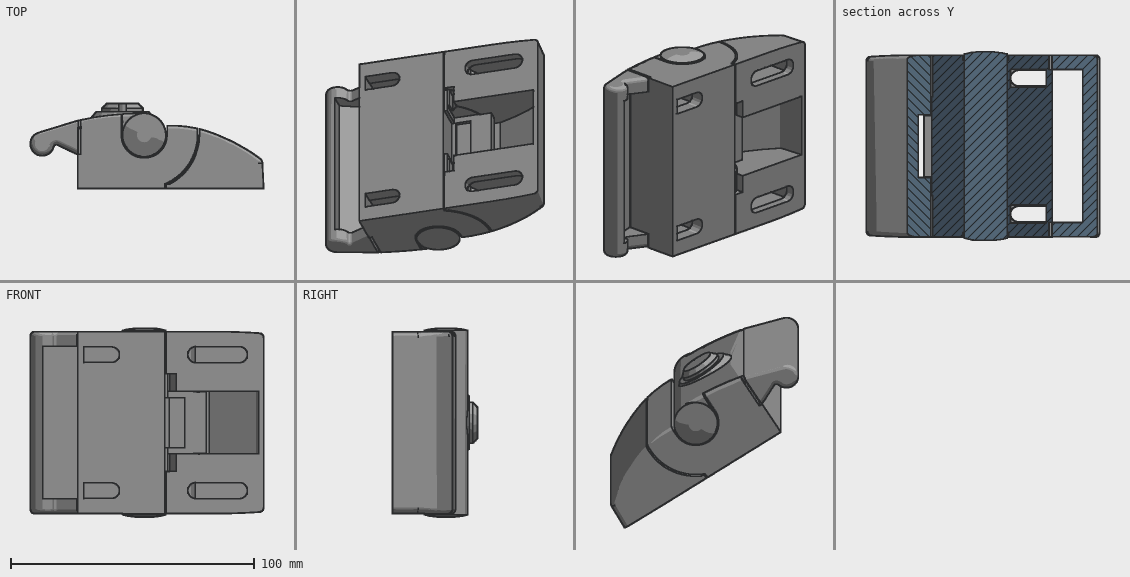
import cadquery as cq
import math

HALF_LENGTH = 37.4
EDGE_ROUND = 1.9
GAP = 0.5
CUT_REACH = 57.6

PIVOT_Y = 22.1
BARREL_RADIUS = 8.9
BARREL_OVERHANG = 0.5
CAP_HEIGHT = 1.0
CAP_CROWN = 0.7
CAP_RADIUS = 8.7
CAP_FLAT_RADIUS = 3.0
COVER_THICKNESS = 2.9
CHEEK_THICKNESS = 2.0
LEVER_CREST_Y = PIVOT_Y + BARREL_RADIUS
ARM_JOINT = (-27.4, 28.0)
ARM_END_X = -27.2
ARM_SPARE = 3.8
ARM_LEVEL_X = -28.3
GRIP_CENTRE = (-42.0, 18.4)
GRIP_RADIUS = 4.9
ARM_UNDERSIDE_Y = 13.9
ARM_UNDERSIDE_ANGLE = 25.5
GRIP_NECK_RADIUS = 1.2
GRIP_RECESS_HALF = 31.4
GRIP_RECESS_MOUTH_X = -41.8
GRIP_RECESS_WALL_TOP_Y = 20.0
GRIP_RECESS_CEILING_X = -39.5

KNOB_X = -8.9
FLANGE_TOP_Y = 31.7
FLANGE_RADIUS = 10.8
FLANGE_DEPTH = 2.9
FLANGE_SPREAD = 2.5
KNOB_RADIUS = 8.5
KNOB_HEIGHT = 3.4
KNOB_CHAMFER = 2.0
KNOB_NOTCH_WIDTH = 3.1
KNOB_CORE_RADIUS = 6.2

HOUSING_LEFT_X = -27.4
HOUSING_RIGHT_X = 8.5
STEP_LEFT_X = -26.0
STEP_Y = 14.2
LIP_HEIGHT = 1.9
PARTING_RADIUS = 21.9
PAD_RADIUS = 22.4
PAD_HALF = 20.4
HOUSING_BASE = 5.8
HOUSING_SLOT_LEFT_X = -24.8
HOUSING_SLOT_RIGHT_X = -10.2
HOUSING_SLOT_WIDTH = 6.3
SLOT_Z = 27.9
TONGUE_Y = 12.7
TONGUE_TOP_Y = 17.3
TONGUE_END_X = 25.4
TONGUE_HALF = 12.7
GROOVE_LEFT_X = 10.6
GROOVE_RISE = 3.0
WINDOW_X = (10.3, 16.6)
WINDOW_HALF = 10.3
WINDOW_DEPTH = 1.4

STRIKE_RADIUS = 22.7
STRIKE_END_X = 49.2
STRIKE_END_TOP = (48.6, 11.7)
STRIKE_CORNER_ROUND = 2.4
ROOF_RADIUS = 49.0
ROOF_CREST = (11.0, 26.0)
ROOF_BREAK_X = 29.3
TAIL_MID = (38.0, 18.5)
TAPER = 0.8
STRIKE_SLOT_X = (18.0, 42.4)
STRIKE_SLOT_WIDTH = 6.6
STRIKE_BASE = 3.8
STRIKE_CAVITY_DEPTH = 9.6
POCKET_HALF = 12.9
POCKET_END_X = 47.1
POCKET_DRAFT = 0.8
POCKET_CORNER_ROUND = 1.0
POCKET_ARCH_X = 26.8
ROOF_THICKNESS = 1.9
NOTCH_END_X = 13.2
NOTCH_HALF = 20.1


def prism(sketch, z_low, z_high):
    """Extrude a closed XY outline from z_low to z_high."""
    return sketch.extrude(z_high - z_low).translate((0, 0, z_low))


def box(x_range, y_range, z_range):
    size = [high - low for low, high in (x_range, y_range, z_range)]
    return cq.Workplane("XY").box(*size, centered=False).translate((x_range[0], y_range[0], z_range[0]))


def disc(radius, z_half, centre=(0, PIVOT_Y)):
    return prism(cq.Workplane("XY").center(*centre).circle(radius), -z_half, z_half)


BAY_HALF = HALF_LENGTH - CHEEK_THICKNESS
COVER_HALF = BAY_HALF - GAP
COVER_RISE = LEVER_CREST_Y - ARM_JOINT[1]
COVER_RADIUS = (ARM_JOINT[0] ** 2 + COVER_RISE ** 2) / (2 * COVER_RISE)


def cover_y(x, drop=0.0):
    """Height of the cover's top arc, or of the concentric arc `drop` below it."""
    return LEVER_CREST_Y - COVER_RADIUS + math.sqrt((COVER_RADIUS - drop) ** 2 - x ** 2)


def under_cover(x_low, x_high, y_low, drop, half):
    """Block with the curved cover arc, lowered by `drop`, as its top."""
    x_mid = (x_low + x_high) / 2
    outline = (
        cq.Workplane("XY")
        .moveTo(x_low, y_low)
        .lineTo(x_low, cover_y(x_low, drop))
        .threePointArc((x_mid, cover_y(x_mid, drop)), (x_high, cover_y(x_high, drop)))
        .lineTo(x_high, y_low)
        .close()
    )
    return prism(outline, -half, half)


def roof_y(x):
    """Height of the arched roof shared by the housing shoulder and the strike."""
    return ROOF_CREST[1] - ROOF_RADIUS + math.sqrt(ROOF_RADIUS ** 2 - (x - ROOF_CREST[0]) ** 2)


def arm_angle():
    """Slope of the arm's top line, from the cover joint tangent to the round grip."""
    dx = ARM_JOINT[0] - GRIP_CENTRE[0]
    dy = ARM_JOINT[1] - GRIP_CENTRE[1]
    return math.atan2(dy, dx) - math.asin(GRIP_RADIUS / math.hypot(dx, dy))


def grip_arm():
    slope = arm_angle()
    tangent_point = (
        GRIP_CENTRE[0] - GRIP_RADIUS * math.sin(slope),
        GRIP_CENTRE[1] + GRIP_RADIUS * math.cos(slope),
    )
    fall = math.tan(math.radians(ARM_UNDERSIDE_ANGLE))
    inner_x = GRIP_CENTRE[0] + GRIP_RADIUS / 2
    end_x = ARM_END_X + ARM_SPARE
    arm = prism(
        cq.Workplane("XY").polyline([
            GRIP_CENTRE,
            tangent_point,
            (end_x, ARM_JOINT[1] + (end_x - ARM_JOINT[0]) * math.tan(slope)),
            (end_x, ARM_UNDERSIDE_Y - ARM_SPARE * fall),
            (inner_x, ARM_UNDERSIDE_Y + (ARM_END_X - inner_x) * fall),
        ]).close(),
        -HALF_LENGTH, HALF_LENGTH,
    )
    body = arm.union(disc(GRIP_RADIUS, HALF_LENGTH, GRIP_CENTRE)).clean()
    neck = cq.selectors.BoxSelector(
        (inner_x, GRIP_CENTRE[1] - GRIP_RADIUS, -1), (inner_x + GRIP_RADIUS, GRIP_CENTRE[1] + 1.9, 1)
    )
    body = body.edges("|Z").edges(neck).fillet(GRIP_NECK_RADIUS)
    body = body.faces("<Z or >Z").edges("not(>X)").fillet(EDGE_ROUND)
    trim = box((ARM_END_X, CUT_REACH), (0, CUT_REACH), (-CUT_REACH, CUT_REACH))
    level = box((ARM_LEVEL_X, ARM_END_X), (0, STEP_Y), (-CUT_REACH, CUT_REACH))
    body = body.cut(trim).cut(level)

    depth = COVER_THICKNESS / math.cos(slope)
    recess = prism(
        cq.Workplane("XY").polyline([
            (GRIP_RECESS_MOUTH_X, 0),
            (GRIP_RECESS_MOUTH_X, GRIP_RECESS_WALL_TOP_Y),
            (GRIP_RECESS_CEILING_X,
             ARM_JOINT[1] + (GRIP_RECESS_CEILING_X - ARM_JOINT[0]) * math.tan(slope) - depth),
            (ARM_JOINT[0], ARM_JOINT[1] - depth),
            (end_x, ARM_JOINT[1] - depth),
            (end_x, 0),
        ]).close(),
        -GRIP_RECESS_HALF, GRIP_RECESS_HALF,
    )
    return body.cut(recess)


def cover():
    plate = under_cover(ARM_END_X, 0, PIVOT_Y, 0, COVER_HALF)
    return plate.cut(under_cover(ARM_END_X, -BARREL_RADIUS, 0, COVER_THICKNESS, COVER_HALF))


def barrel():
    wedge = under_cover(-BARREL_RADIUS, 0, PIVOT_Y, 0, HALF_LENGTH)
    wedge = wedge.faces("<Z or >Z").edges(">Y").fillet(EDGE_ROUND)
    return wedge.union(disc(BARREL_RADIUS, HALF_LENGTH + BARREL_OVERHANG))


def end_caps():
    """Domed caps on both barrel ends."""
    base_z = HALF_LENGTH + BARREL_OVERHANG
    top_z = base_z + CAP_HEIGHT
    mid_r = (CAP_RADIUS + CAP_FLAT_RADIUS) / 2
    cap = (
        cq.Workplane("XZ")
        .moveTo(0, 0)
        .lineTo(0, top_z)
        .lineTo(CAP_FLAT_RADIUS, top_z)
        .threePointArc((mid_r, base_z + CAP_CROWN), (CAP_RADIUS, base_z))
        .lineTo(CAP_RADIUS, 0)
        .close()
        .revolve(360, (0, 0, 0), (0, 1, 0))
    )
    return cap.union(cap.mirror("XY")).translate((0, PIVOT_Y, 0))


def knob_flange():
    profile = [
        (0, FLANGE_TOP_Y),
        (FLANGE_RADIUS, FLANGE_TOP_Y),
        (FLANGE_RADIUS + FLANGE_SPREAD, FLANGE_TOP_Y - FLANGE_DEPTH),
        (0, FLANGE_TOP_Y - FLANGE_DEPTH),
    ]
    cone = cq.Workplane("XY").polyline(profile).close().revolve(360, (0, 0, 0), (0, 1, 0))
    return cone.translate((KNOB_X, 0, 0))


def make_lever():
    return grip_arm().union(cover()).union(barrel()).union(end_caps()).union(knob_flange())


def make_knob():
    knob = (
        cq.Workplane("XZ", origin=(KNOB_X, FLANGE_TOP_Y, 0))
        .circle(KNOB_RADIUS)
        .extrude(-KNOB_HEIGHT)
        .faces(">Y")
        .chamfer(KNOB_CHAMFER)
    )
    notch = box(
        (KNOB_X - KNOB_NOTCH_WIDTH / 2, KNOB_X + KNOB_NOTCH_WIDTH / 2),
        (FLANGE_TOP_Y, FLANGE_TOP_Y + KNOB_HEIGHT),
        (0, KNOB_RADIUS),
    )
    core = cq.Workplane("XZ", origin=(KNOB_X, FLANGE_TOP_Y, 0)).circle(KNOB_CORE_RADIUS).extrude(-KNOB_HEIGHT)
    notch = notch.cut(core)
    return knob.cut(notch)


def housing_blank():
    lip_x = math.sqrt(PARTING_RADIUS ** 2 - (PIVOT_Y - LIP_HEIGHT) ** 2)
    diagonal = PARTING_RADIUS * math.sqrt(0.5)
    shoulder_x = BARREL_RADIUS + GAP
    shoulder = prism(
        cq.Workplane("XY")
        .moveTo(STEP_LEFT_X, 0)
        .lineTo(HOUSING_RIGHT_X, 0)
        .lineTo(HOUSING_RIGHT_X, LIP_HEIGHT)
        .lineTo(lip_x, LIP_HEIGHT)
        .threePointArc((diagonal, PIVOT_Y - diagonal), (PARTING_RADIUS, PIVOT_Y))
        .lineTo(PARTING_RADIUS, roof_y(PARTING_RADIUS))
        .threePointArc(ROOF_CREST, (shoulder_x, roof_y(shoulder_x)))
        .lineTo(0, roof_y(shoulder_x))
        .lineTo(0, PIVOT_Y)
        .lineTo(STEP_LEFT_X, PIVOT_Y)
        .close(),
        -HALF_LENGTH, HALF_LENGTH,
    )
    right_of_barrel = cq.selectors.BoxSelector(
        (shoulder_x, PIVOT_Y + 1, -CUT_REACH), (PARTING_RADIUS - 1, LEVER_CREST_Y, CUT_REACH)
    )
    shoulder = shoulder.faces("<Z or >Z").edges(right_of_barrel).fillet(EDGE_ROUND)
    cheeks = under_cover(STEP_LEFT_X, -BARREL_RADIUS, PIVOT_Y, 0, HALF_LENGTH)
    cheeks = cheeks.faces("<Z or >Z").edges(">Y").fillet(EDGE_ROUND)
    foot = box((HOUSING_LEFT_X, 0), (0, STEP_Y), (-HALF_LENGTH, HALF_LENGTH))
    front_wall = under_cover(HOUSING_LEFT_X, 0, 0, COVER_THICKNESS + GAP, GRIP_RECESS_HALF)
    return shoulder.union(cheeks).union(foot).union(front_wall)


def lever_clearance():
    """Round seat for the barrel, open upwards, and the bay below the cover."""
    radius = BARREL_RADIUS + GAP
    end_seats = disc(radius, HALF_LENGTH).cut(disc(radius, BAY_HALF))
    throat = box((-radius, radius), (PIVOT_Y, CUT_REACH), (-HALF_LENGTH, HALF_LENGTH))
    throat = throat.cut(box((-radius, -BARREL_RADIUS), (PIVOT_Y, CUT_REACH), (-BAY_HALF, BAY_HALF)))
    bay = box((-CUT_REACH, 0), (STEP_Y, CUT_REACH), (-BAY_HALF, BAY_HALF))
    bay = bay.cut(under_cover(ARM_JOINT[0], 0, 0, COVER_THICKNESS + GAP, BAY_HALF))
    return disc(BARREL_RADIUS, HALF_LENGTH).union(end_seats).union(throat).union(bay)


def housing_slots():
    """Mounting slots with one round and one square end, each opening into a bay behind the base."""
    half_width = HOUSING_SLOT_WIDTH / 2
    centre_x = HOUSING_SLOT_RIGHT_X - half_width
    tools = cq.Workplane("XY")
    for z in (-SLOT_Z, SLOT_Z):
        z_range = (z - half_width, z + half_width)
        square = box((HOUSING_SLOT_LEFT_X, centre_x), (0, HOUSING_BASE), z_range)
        round_end = cq.Workplane("XZ", origin=(centre_x, 0, z)).circle(half_width).extrude(-HOUSING_BASE)
        bay_z = (z - half_width - GAP, z + half_width + GAP)
        bay = box((HOUSING_SLOT_LEFT_X, HOUSING_SLOT_RIGHT_X), (HOUSING_BASE, LEVER_CREST_Y), bay_z)
        tools = tools.union(square).union(round_end).union(bay)
    return tools


def tongue():
    """Flat latch tongue that reaches into the strike pocket, standing out of the round face."""
    return box((0, TONGUE_END_X), (TONGUE_Y, TONGUE_TOP_Y), (-TONGUE_HALF, TONGUE_HALF))


def parting_pad():
    """Raised middle of the round parting face, above the lip."""
    pad = disc(PAD_RADIUS, PAD_HALF)
    sector = box((0, PAD_RADIUS), (LIP_HEIGHT, PIVOT_Y), (-PAD_HALF, PAD_HALF))
    return pad.intersect(sector)


def pad_groove():
    """Groove across the pad whose far side slopes back under itself."""
    groove_y = PIVOT_Y - math.sqrt(PAD_RADIUS ** 2 - NOTCH_END_X ** 2)
    return prism(
        cq.Workplane("XY").polyline([
            (GROOVE_LEFT_X, 0),
            (GROOVE_LEFT_X, groove_y + GROOVE_RISE),
            (NOTCH_END_X, groove_y),
            (NOTCH_END_X, 0),
        ]).close(),
        -NOTCH_HALF, NOTCH_HALF,
    )


def tongue_relief():
    """Room below the tongue, deeper along the window."""
    pad_foot_x = math.sqrt(PAD_RADIUS ** 2 - (PIVOT_Y - LIP_HEIGHT) ** 2)
    outer = box((pad_foot_x, CUT_REACH), (0, TONGUE_Y), (-POCKET_HALF, POCKET_HALF))
    inner = box((HOUSING_RIGHT_X, CUT_REACH), (0, TONGUE_Y), (-WINDOW_HALF, WINDOW_HALF))
    window = box(WINDOW_X, (TONGUE_Y, TONGUE_Y + WINDOW_DEPTH), (-WINDOW_HALF, WINDOW_HALF))
    return outer.union(inner).union(window)


def make_housing():
    blank = housing_blank().union(parting_pad()).cut(pad_groove()).union(tongue())
    return blank.cut(tongue_relief()).cut(lever_clearance()).cut(housing_slots())


def strike_profile():
    left_x = HOUSING_RIGHT_X + GAP
    radius = STRIKE_RADIUS
    lip_x = math.sqrt(radius ** 2 - (PIVOT_Y - LIP_HEIGHT) ** 2)
    diagonal = radius * math.sqrt(0.5)
    roof_mid_x = (radius + ROOF_BREAK_X) / 2
    return (
        cq.Workplane("XY")
        .moveTo(left_x, 0)
        .lineTo(left_x, LIP_HEIGHT)
        .lineTo(lip_x, LIP_HEIGHT)
        .threePointArc((diagonal, PIVOT_Y - diagonal), (radius, PIVOT_Y))
        .lineTo(radius, roof_y(radius))
        .threePointArc((roof_mid_x, roof_y(roof_mid_x)), (ROOF_BREAK_X, roof_y(ROOF_BREAK_X)))
        .threePointArc(TAIL_MID, STRIKE_END_TOP)
        .lineTo(STRIKE_END_X, 0)
        .close()
    )


def strike_blank():
    body = prism(strike_profile(), -HALF_LENGTH, HALF_LENGTH)
    corner = cq.selectors.NearestToPointSelector((*STRIKE_END_TOP, 0))
    body = body.edges(corner).fillet(STRIKE_CORNER_ROUND)
    tail = HALF_LENGTH - TAPER
    mid_x = (ROOF_BREAK_X + STRIKE_END_X) / 2
    mid = HALF_LENGTH - TAPER / 4
    plan = (
        cq.Workplane("XZ")
        .moveTo(0, -HALF_LENGTH)
        .lineTo(ROOF_BREAK_X, -HALF_LENGTH)
        .threePointArc((mid_x, -mid), (STRIKE_END_X, -tail))
        .lineTo(STRIKE_END_X, tail)
        .threePointArc((mid_x, mid), (ROOF_BREAK_X, HALF_LENGTH))
        .lineTo(0, HALF_LENGTH)
        .close()
        .extrude(-CUT_REACH)
    )
    body = body.intersect(plan)
    roof_ends = [
        edge for edge in body.edges().vals()
        if abs(edge.Center().z) > tail - 1
        and edge.Center().x > STRIKE_RADIUS + 1
        and edge.Center().y > 1
        and abs(edge.Center().x - ROOF_BREAK_X) > 0.1
    ]
    return body.newObject(roof_ends).fillet(EDGE_ROUND)


def strike_pocket():
    """Pocket for the tongue under the roof, and a notch through the lip."""
    left_x = HOUSING_RIGHT_X
    arch_y = roof_y(POCKET_ARCH_X) - ROOF_THICKNESS
    tail_mid_y = TAIL_MID[1] - ROOF_THICKNESS
    corner_x = POCKET_END_X - POCKET_DRAFT
    slope = (TAIL_MID[1] - STRIKE_END_TOP[1]) / (STRIKE_END_TOP[0] - TAIL_MID[0])
    corner_y = STRIKE_END_TOP[1] + slope * (STRIKE_END_TOP[0] - corner_x) - ROOF_THICKNESS
    pocket = prism(
        cq.Workplane("XY")
        .moveTo(left_x, 0)
        .lineTo(left_x, arch_y)
        .lineTo(POCKET_ARCH_X, arch_y)
        .threePointArc((TAIL_MID[0], tail_mid_y), (corner_x, corner_y))
        .lineTo(POCKET_END_X, 0)
        .close(),
        -POCKET_HALF, POCKET_HALF,
    )
    corner = cq.selectors.NearestToPointSelector((corner_x, corner_y, 0))
    pocket = pocket.edges(corner).fillet(POCKET_CORNER_ROUND)
    notch = box((left_x, NOTCH_END_X), (0, PIVOT_Y), (-NOTCH_HALF, NOTCH_HALF))
    return pocket.union(notch)


def strike_slots():
    """Obround mounting slots, each opening into a wider cavity behind the base."""
    low_x, high_x = STRIKE_SLOT_X
    mid_x = (low_x + high_x) / 2
    length = high_x - low_x
    tools = cq.Workplane("XY")
    for z in (-SLOT_Z, SLOT_Z):
        mouth = (
            cq.Workplane("XZ", origin=(mid_x, 0, z))
            .slot2D(length, STRIKE_SLOT_WIDTH)
            .extrude(-STRIKE_BASE)
        )
        cavity = (
            cq.Workplane("XZ", origin=(mid_x, STRIKE_BASE, z))
            .rect(length, STRIKE_SLOT_WIDTH + 2 * GAP)
            .extrude(-STRIKE_CAVITY_DEPTH)
        )
        tools = tools.union(mouth).union(cavity)
    return tools


def make_strike():
    return strike_blank().cut(strike_pocket()).cut(strike_slots())


lever = make_lever()
knob = make_knob()
housing = make_housing()
strike = make_strike()

result = cq.Compound.makeCompound([
    lever.solids().val(),
    knob.solids().val(),
    housing.solids().val(),
    strike.solids().val(),
])